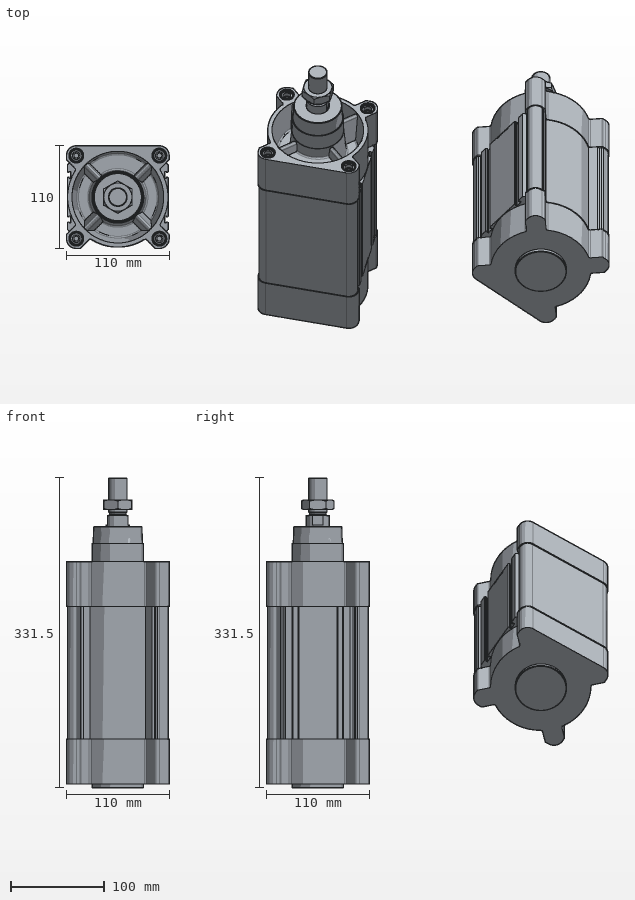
import cadquery as cq
import math


TOTAL_HEIGHT = 331.5
LOW_CAP_BOTTOM = 4.3
CAP_HEIGHT = 48.0
FRONT_CAP_TOP = 242.3
FRONT_CAP_BOTTOM = FRONT_CAP_TOP - CAP_HEIGHT
LOW_CAP_TOP = LOW_CAP_BOTTOM + CAP_HEIGHT
SPIGOT_TOP = 261.5
COLLAR_TOP = 279.8

CAP_WIDTH = 110.0
CAP_HALF = CAP_WIDTH / 2
LUG_CENTER = 44.5
CAP_LUG_RADIUS = CAP_HALF - LUG_CENTER
CAP_ARC_RADIUS = 53.7
NOTCH_FILLET = 2.0
LUG_FILLET = 1.3
CAP_WALL_OFFSET = CAP_LUG_RADIUS * math.sqrt(2)

BARREL_HALF = 54.0
BARREL_LUG_RADIUS = BARREL_HALF - LUG_CENTER
BARREL_ARC_RADIUS = 53.0
BARREL_WALL_OFFSET = 14.5
LAND_LEVEL = 51.0
LAND_OUTER = 39.0
LUG_STEP = (40.5, 53.0)
LUG_EDGE = 42.5
PAD_HALF = 34.5
PAD_FOOT = PAD_HALF + BARREL_HALF - LAND_LEVEL
SLOT_CENTER = 24.0
SLOT_MOUTH = 5.0
SLOT_WIDTH = 7.0
SLOT_NECK = 2.0
SLOT_CHAMFER = 1.0
SLOT_DEPTH = 3.5

SPIGOT_RADIUS = 55.0 / 2
RECESS_RADIUS = 49.0
RECESS_DEPTH = 31.8
SHALLOW_DEPTH = 13.3
RECESS_FILLET = 1.5
DRAFT = math.tan(math.radians(10))
HUB_TOP_RADIUS = 28.0
HUB_DRAFT = math.tan(math.radians(5))
RIB_TOP_WIDTH = 4.3
RIB_DROP = 2.0
RIB_ROUND = 2.3

RIM_DIAMETER = 16.0
RIM_DEPTH = 0.5
SCREW_STEPS = [(15.0, 1.3), (13.0, 1.5), (12.0, 2.0), (8.3, 6.5), (5.3, 10.0)]

COLLAR_BASE_RADIUS = 26.5
COLLAR_TOP_RADIUS = 26.0
COLLAR_CHAMFER = 0.5
SPIGOT_CHAMFER = 0.5

ROD_DIAMETER = 25.0
ROD_BOTTOM = FRONT_CAP_BOTTOM
ROD_SHOULDER = 291.5
ROD_CHAMFER = 1.0
FLAT_WIDTH = 22.2
FLAT_BOTTOM = 281.0
NECK_DIAMETER = 18.0
THREAD_DIAMETER = 20.0
THREAD_BOTTOM = 294.5
THREAD_CHAMFER = 0.5

NUT_FLATS = 30.2
NUT_CORNERS = NUT_FLATS / math.cos(math.radians(30))
NUT_TOP = 308.3
NUT_BOTTOM = 297.7
NUT_CHAMFER_ANGLE = math.radians(30)

SELECT_MARGIN = 0.3
SIDES_WITH_SCALLOP = (-90, 0, 90)
DIAGONALS = (45, 135, 225, 315)


def turned(shape, angle):
    return shape.rotate((0, 0, 0), (0, 0, 1), angle)


def scallop_corner(radius, wall_offset):
    """Distance pair (x, y) where the 45 degree lug wall meets an arc about the axis."""
    across = wall_offset / 2
    along = math.sqrt(radius**2 / 2 - across**2)
    return along - across, along + across


def rounded_square(half, radius, bottom, top):
    block = cq.Workplane("XY").workplane(offset=bottom).rect(2 * half, 2 * half).extrude(top - bottom)
    return block.edges("|Z").fillet(radius)


def scallop(outer_points, radius, wall_offset, bottom, top):
    """Cutter for the -Y side: the space outside the cylinder arc, between two lugs."""
    x, y = scallop_corner(radius, wall_offset)
    right = outer_points + [(x, -y)]
    left = [(-px, py) for px, py in reversed(right)]
    sketch = cq.Workplane("XY").workplane(offset=bottom).polyline(right)
    sketch = sketch.threePointArc((0, -radius), left[0]).polyline(left[1:], includeCurrent=True)
    return sketch.close().extrude(top - bottom)


def end_cap(bottom, top):
    cap = rounded_square(CAP_HALF, CAP_LUG_RADIUS, bottom, top)
    corner = CAP_HALF - CAP_WALL_OFFSET
    cutter = scallop([(corner, -CAP_HALF)], CAP_ARC_RADIUS, CAP_WALL_OFFSET, bottom, top)
    notch_level = -scallop_corner(CAP_ARC_RADIUS, CAP_WALL_OFFSET)[1]
    notch_edges = cq.selectors.BoxSelector((-CAP_HALF, notch_level - SELECT_MARGIN, bottom - SELECT_MARGIN),
                                           (CAP_HALF, notch_level + SELECT_MARGIN, top + SELECT_MARGIN))
    cutter = cutter.edges("|Z").edges(notch_edges).fillet(NOTCH_FILLET)
    for angle in SIDES_WITH_SCALLOP:
        cap = cap.cut(turned(cutter, angle))
    for place in (-corner, corner):
        for x, y in ((place, -CAP_HALF), (-CAP_HALF, place), (CAP_HALF, place)):
            nearest = cq.selectors.NearestToPointSelector((x, y, (bottom + top) / 2))
            cap = cap.edges("|Z").edges(nearest).fillet(LUG_FILLET)
    return cap


def barrel():
    bottom, top = LOW_CAP_TOP, FRONT_CAP_BOTTOM
    body = rounded_square(BARREL_HALF, BARREL_LUG_RADIUS, bottom, top)
    lug_side = [(LUG_EDGE, -BARREL_HALF), (LUG_STEP[0], -LUG_STEP[1]), (LAND_OUTER, -LAND_LEVEL)]
    wall_start = (LAND_LEVEL - BARREL_WALL_OFFSET, -LAND_LEVEL)
    body = body.cut(scallop(lug_side + [wall_start], BARREL_ARC_RADIUS, BARREL_WALL_OFFSET, bottom, top))

    groove_points = lug_side + [(PAD_FOOT, -LAND_LEVEL), (PAD_HALF, -BARREL_HALF)]
    groove = cq.Workplane("XY").workplane(offset=bottom).polyline(groove_points).close().extrude(top - bottom)
    slot = t_slot(bottom, top)
    for cutter in (groove, slot):
        for side_cutter in (cutter, cutter.mirror("YZ")):
            for angle in (-90, 90):
                body = body.cut(turned(side_cutter, angle))
    return body


def t_slot(bottom, top):
    """T-slot with a chamfered mouth on the -Y side, to be turned onto the pads."""
    surface = -BARREL_HALF
    mouth, head = SLOT_MOUTH / 2, SLOT_WIDTH / 2
    right = [(mouth + SLOT_CHAMFER, surface), (mouth, surface + SLOT_CHAMFER), (mouth, surface + SLOT_NECK),
             (head, surface + SLOT_NECK), (head, surface + SLOT_DEPTH)]
    left = [(-x, y) for x, y in reversed(right)]
    sketch = cq.Workplane("XY").workplane(offset=bottom).center(SLOT_CENTER, 0)
    return sketch.polyline(right + left).close().extrude(top - bottom)


def recess_ring(depth, angle):
    """Drafted ring pocket around the hub, swept counterclockwise from +X."""
    floor = FRONT_CAP_TOP - depth
    profile = [(HUB_TOP_RADIUS, FRONT_CAP_TOP), (HUB_TOP_RADIUS + depth * HUB_DRAFT, floor),
               (RECESS_RADIUS - depth * DRAFT, floor), (RECESS_RADIUS, FRONT_CAP_TOP)]
    ring = cq.Workplane("XZ").polyline(profile).close().revolve(angle, (0, 0), (0, 1))
    return ring.faces("<Z").edges("%CIRCLE").fillet(RECESS_FILLET)


def rib(angle):
    """Drafted spoke with a rounded top."""
    top = FRONT_CAP_TOP - RIB_DROP
    bottom = FRONT_CAP_TOP - RECESS_DEPTH
    top_half = RIB_TOP_WIDTH / 2
    bottom_half = top_half + (top - bottom) * DRAFT
    profile = [(-bottom_half, bottom), (bottom_half, bottom), (top_half, top), (-top_half, top)]
    spoke = cq.Workplane("YZ").polyline(profile).close().extrude(RECESS_RADIUS)
    return turned(spoke.faces(">Z").edges("|X").fillet(RIB_ROUND), angle)


def cap_recess():
    """Shallow pocket on the +Y side, deep pockets in the other three quarters, ribs between."""
    deep = turned(recess_ring(RECESS_DEPTH, 270), 135)
    cutter = recess_ring(SHALLOW_DEPTH, 360).union(deep)
    for angle in DIAGONALS:
        cutter = cutter.cut(rib(angle))
    return cutter


def screw_recesses():
    """Stepped round recesses at the four tie screws."""
    profile = [(0, 0), (RIM_DIAMETER / 2, 0)]
    level = -RIM_DEPTH
    for diameter, depth in SCREW_STEPS:
        profile += [(diameter / 2, level), (diameter / 2, -depth)]
        level = -depth
    profile.append((0, level))
    recess = cq.Workplane("XZ").polyline(profile).close().revolve(360, (0, 0), (0, 1))
    recess = recess.translate((LUG_CENTER, LUG_CENTER, FRONT_CAP_TOP))
    cutter = cq.Workplane("XY")
    for quarter in range(4):
        cutter = cutter.union(turned(recess, 90 * quarter))
    return cutter


def front_spigot():
    """Cylindrical spigot with a slightly tapered collar above it."""
    profile = [(0, FRONT_CAP_BOTTOM), (SPIGOT_RADIUS, FRONT_CAP_BOTTOM), (SPIGOT_RADIUS, SPIGOT_TOP),
               (COLLAR_BASE_RADIUS, SPIGOT_TOP), (COLLAR_TOP_RADIUS, COLLAR_TOP - COLLAR_CHAMFER),
               (COLLAR_TOP_RADIUS - COLLAR_CHAMFER, COLLAR_TOP), (0, COLLAR_TOP)]
    return cq.Workplane("XZ").polyline(profile).close().revolve(360, (0, 0), (0, 1))


def rear_spigot():
    spigot = cq.Workplane("XY").circle(SPIGOT_RADIUS).extrude(LOW_CAP_BOTTOM)
    return spigot.faces("<Z").edges().chamfer(SPIGOT_CHAMFER)


def make_housing():
    front_cap = end_cap(FRONT_CAP_BOTTOM, FRONT_CAP_TOP).cut(cap_recess()).cut(screw_recesses())
    housing = barrel().union(end_cap(LOW_CAP_BOTTOM, LOW_CAP_TOP)).union(front_cap)
    housing = housing.union(front_spigot()).union(rear_spigot())
    rod_bore = (cq.Workplane("XY").workplane(offset=ROD_BOTTOM)
                .circle(ROD_DIAMETER / 2).extrude(COLLAR_TOP - ROD_BOTTOM))
    return housing.cut(rod_bore)


def make_rod():
    rod_radius, neck, thread = ROD_DIAMETER / 2, NECK_DIAMETER / 2, THREAD_DIAMETER / 2
    profile = [(0, ROD_BOTTOM), (rod_radius, ROD_BOTTOM), (rod_radius, ROD_SHOULDER),
               (neck + ROD_CHAMFER, ROD_SHOULDER), (neck, ROD_SHOULDER + ROD_CHAMFER),
               (neck, THREAD_BOTTOM), (thread, THREAD_BOTTOM + thread - neck),
               (thread, TOTAL_HEIGHT - THREAD_CHAMFER), (thread - THREAD_CHAMFER, TOTAL_HEIGHT),
               (0, TOTAL_HEIGHT)]
    rod = cq.Workplane("XZ").polyline(profile).close().revolve(360, (0, 0), (0, 1))
    flat_depth = (ROD_DIAMETER - FLAT_WIDTH) / 2
    for side in (-1, 1):
        flat = cq.Workplane("XY").box(flat_depth, ROD_DIAMETER, ROD_SHOULDER - FLAT_BOTTOM,
                                      centered=(True, True, False))
        rod = rod.cut(flat.translate((side * (FLAT_WIDTH + flat_depth) / 2, 0, FLAT_BOTTOM)))
    return rod


def make_nut():
    """Hex nut with corners on +Y and -Y, both faces chamfered by a 30 degree cone."""
    height = NUT_TOP - NUT_BOTTOM
    nut = turned(cq.Workplane("XY").polygon(6, NUT_CORNERS).extrude(height), 90)
    face_radius, corner_radius = NUT_FLATS / 2, NUT_CORNERS / 2
    drop = (corner_radius - face_radius) * math.tan(NUT_CHAMFER_ANGLE)
    profile = [(0, 0), (face_radius, 0), (corner_radius, drop), (corner_radius, height - drop),
               (face_radius, height), (0, height)]
    nut = nut.intersect(cq.Workplane("XZ").polyline(profile).close().revolve(360, (0, 0), (0, 1)))
    thread = cq.Workplane("XY").circle(THREAD_DIAMETER / 2).extrude(height)
    return nut.cut(thread).translate((0, 0, NUT_BOTTOM))


housing = make_housing()
rod = make_rod()
nut = make_nut()

result = cq.Compound.makeCompound([housing.val(), rod.val(), nut.val()])